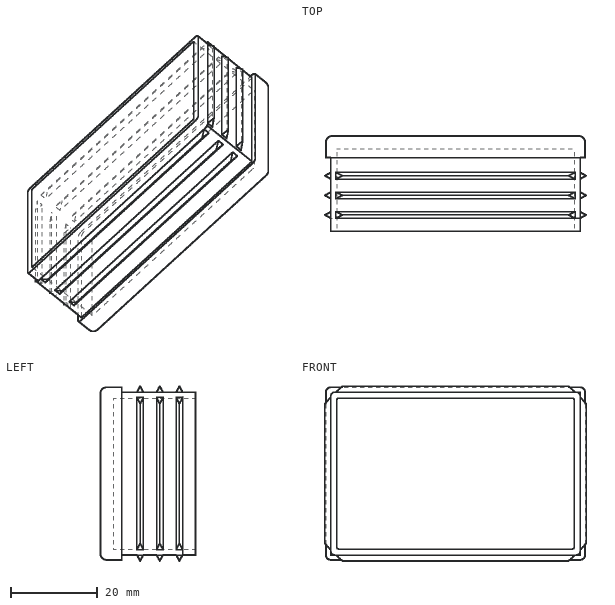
import cadquery as cq

overall_x = 60.35
overall_y = 22.0
overall_z = 40.4

rib_height = 1.4
rib_width = 1.5
rib_end_slope = 1.5
rib_end_inset = 1.2
rib_count = 3
rib_pitch = 4.5
front_band = 3.0

body_x = overall_x - 2 * rib_height
body_z = overall_z - 2 * rib_height
body_corner_radius = 0.95
wall = 1.4
cavity_corner_radius = 0.5
floor = 3.0

cap_lip = 1.15
cap_x = body_x + 2 * cap_lip
cap_z = body_z + 2 * cap_lip
cap_thickness = 5.0
cap_corner_radius = 1.2
cap_edge_radius = 1.5
body_y = overall_y - cap_thickness


def block(size_x, size_z, y_start, y_end):
    """Box centred on the Y axis, running from y_start to y_end."""
    depth = y_end - y_start
    return cq.Workplane("XY").box(size_x, depth, size_z).translate((0, y_start + depth / 2, 0))


def make_cap():
    cap = block(cap_x, cap_z, body_y, overall_y)
    cap = cap.edges("|Y").fillet(cap_corner_radius)
    return cap.faces(">Y").edges().fillet(cap_edge_radius)


def make_body():
    front = block(body_x, body_z, 0, front_band)
    front = front.edges("|Y").fillet(body_corner_radius)
    rear = block(body_x, body_z, front_band, body_y)
    rear = rear.edges("|Y and <X and >Z").fillet(body_corner_radius)
    return front.union(rear)


def make_cavity():
    cavity = block(body_x - 2 * wall, body_z - 2 * wall, 0, overall_y - floor)
    return cavity.edges("|Y").fillet(cavity_corner_radius)


def make_rib(length, base_height, y_center):
    """Rib along X, standing on the plane Z = base_height."""
    half_length = length / 2
    half_width = rib_width / 2
    top_height = base_height + rib_height
    ridge = (
        cq.Workplane("YZ")
        .polyline(
            [
                (y_center - half_width, base_height),
                (y_center + half_width, base_height),
                (y_center, top_height),
            ]
        )
        .close()
        .extrude(half_length, both=True)
    )
    sloped_ends = (
        cq.Workplane("XZ", origin=(0, y_center, 0))
        .polyline(
            [
                (-half_length, base_height),
                (half_length, base_height),
                (half_length - rib_end_slope, top_height),
                (-half_length + rib_end_slope, top_height),
            ]
        )
        .close()
        .extrude(half_width, both=True)
    )
    return ridge.intersect(sloped_ends)


result = make_cap().union(make_body()).cut(make_cavity())

for index in range(rib_count):
    rib_y = front_band + rib_width / 2 + index * rib_pitch
    long_rib = make_rib(body_x - 2 * rib_end_inset, body_z / 2, rib_y)
    short_rib = make_rib(body_z - 2 * rib_end_inset, body_x / 2, rib_y)
    for turn in (0, 180):
        result = result.union(long_rib.rotate((0, 0, 0), (0, 1, 0), turn))
        result = result.union(short_rib.rotate((0, 0, 0), (0, 1, 0), turn + 90))